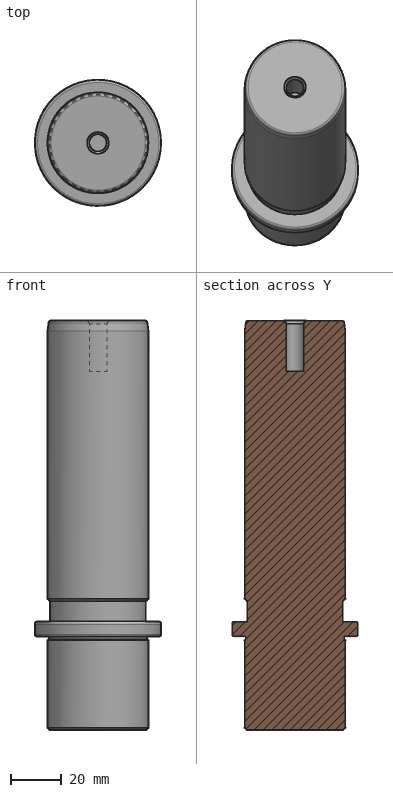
import cadquery as cq
import math

total_height = 162.0
flange_bottom = 37.0
flange_thickness = 6.0
flange_top = flange_bottom + flange_thickness
neck_length = 8.0
neck_top = flange_top + neck_length

shaft_radius = 40.0 / 2
neck_radius = 38.0 / 2
flange_radius = 50.0 / 2

bottom_chamfer = 1.0
flange_round = 1.0
relief_width = 1.0
relief_depth = 0.5

lead_in_length = 4.0
lead_in_angle = math.radians(7.5)
top_round = 1.0

hole_radius = 6.8 / 2
countersink_radius = 8.6 / 2
countersink_depth = 1.2
hole_depth = 20.0


def revolve_about_z(profile):
    """Turn a closed (radius, height) profile a full revolution about the Z axis."""
    return profile.close().revolve(360, (0, 0, 0), (0, 1, 0))


def make_fitting_end():
    """Lower shaft with a chamfered foot and a relief groove under the flange."""
    relief_radius = shaft_radius - relief_depth
    relief_bottom = flange_bottom - relief_width
    profile = cq.Workplane("XZ").polyline([
        (0, 0),
        (shaft_radius - bottom_chamfer, 0),
        (shaft_radius, bottom_chamfer),
        (shaft_radius, relief_bottom - relief_depth),
        (relief_radius, relief_bottom),
        (relief_radius, flange_bottom),
        (0, flange_bottom),
    ])
    return revolve_about_z(profile)


def make_flange():
    """Locating flange with both rims rounded."""
    disc = cq.Workplane("XY").workplane(offset=flange_bottom).circle(flange_radius).extrude(flange_thickness)
    return disc.faces("<Z or >Z").edges().fillet(flange_round)


def make_guide_shaft():
    """Neck and long shaft, ending in a shallow taper rounded into the top face."""
    round_center_z = total_height - top_round
    taper_height = lead_in_length - top_round
    round_center_radius = (
        shaft_radius - taper_height * math.tan(lead_in_angle) - top_round / math.cos(lead_in_angle)
    )

    def point_on_round(angle):
        return (
            round_center_radius + top_round * math.cos(angle),
            round_center_z + top_round * math.sin(angle),
        )

    end_angle = math.pi / 2
    middle_angle = (lead_in_angle + end_angle) / 2
    shoulder_chamfer = shaft_radius - neck_radius
    profile = (
        cq.Workplane("XZ")
        .moveTo(0, flange_top)
        .lineTo(neck_radius, flange_top)
        .lineTo(neck_radius, neck_top)
        .lineTo(shaft_radius, neck_top + shoulder_chamfer)
        .lineTo(shaft_radius, total_height - lead_in_length)
        .lineTo(*point_on_round(lead_in_angle))
        .threePointArc(point_on_round(middle_angle), point_on_round(end_angle))
        .lineTo(0, total_height)
    )
    return revolve_about_z(profile)


def make_center_hole():
    """Cutter for the blind hole with its conical mouth."""
    hole_bottom = total_height - hole_depth
    profile = cq.Workplane("XZ").polyline([
        (0, hole_bottom),
        (hole_radius, hole_bottom),
        (hole_radius, total_height - countersink_depth),
        (countersink_radius, total_height),
        (0, total_height),
    ])
    return revolve_about_z(profile)


body = make_fitting_end().union(make_flange()).union(make_guide_shaft())
result = body.cut(make_center_hole())